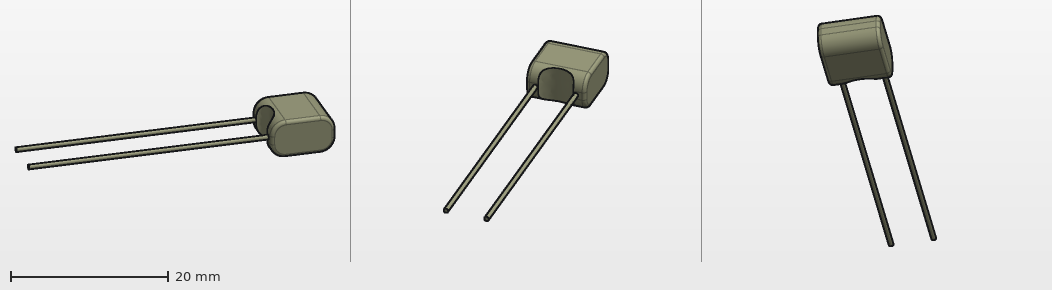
import cadquery as cq

total_length = 40.4
body_width = 8.1
body_length = 8.6
body_height = 5.1

edge_radius = 2.0
end_fillet = 0.5
notch_half_width = 2.4
notch_depth = 1.5

lead_diameter = 0.65
lead_spacing = 5.55
lead_length = total_length - body_length



def make_notch_cutter():
    """Elliptical cylinder along Z that scoops the lead face between the leads."""
    return (
        cq.Workplane("XY", origin=(0, 0, -body_height / 2))
        .ellipse(notch_depth, notch_half_width, rotation_angle=90)
        .extrude(body_height)
    )


def make_body():
    """Rounded block with softened ends and a scooped lead face."""
    block = cq.Workplane("XY").box(body_width, body_length, body_height)
    block = block.translate((0, body_length / 2, 0))
    block = block.edges("|X").fillet(edge_radius)
    block = block.faces("<X or >X").edges().fillet(end_fillet)
    return block.cut(make_notch_cutter())


def make_lead(x_center):
    """Straight round wire that starts on the lead face and runs toward -Y."""
    return (
        cq.Workplane("XZ")
        .center(x_center, 0)
        .circle(lead_diameter / 2)
        .extrude(lead_length)
    )


body = make_body()

leads = []
for side in (-1, 1):
    lead = make_lead(side * lead_spacing / 2)
    leads.append(lead.val())

result = cq.Compound.makeCompound([body.val(), *leads])